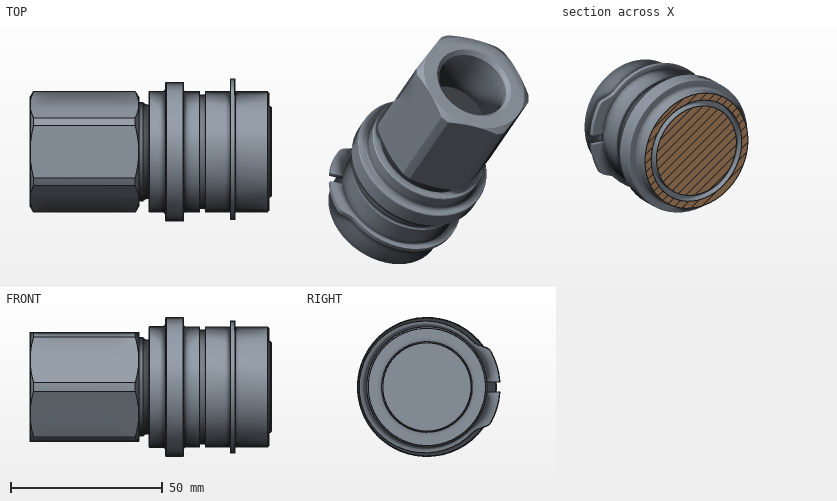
import cadquery as cq
import math

hex_across_flats = 36.0
hex_corner_radius = 20.0
hex_length = 36.0
hex_face_radius = 17.95
hex_chamfer_angle = 30.0

bore_radius = 11.95
bore_depth = 20.0
bore_chamfer = 1.3

neck_radius = 16.3
neck_root_radius = 15.55
neck_shoulder_x = 37.35
neck_root_x = 38.6

sleeve_radius = 20.0
sleeve_start_x = 39.35
sleeve_end_x = 79.0
sleeve_front_chamfer = 0.25
sleeve_end_chamfer = 0.5
rear_radius = 19.9
flange_radius = 23.0
flange_start_x = 44.9
flange_end_x = 50.85
flange_edge_chamfer = 0.2
flange_front_fillet = 1.0
flange_rear_fillet = 0.45
groove_radius = 18.8
groove_start_x = 56.0
groove_end_x = 58.0
groove_floor_fillet = 0.2

clearance_radius = 17.4
clearance_depth = 3.0

stub_radius = 15.0
stub_chamfer = 0.4
total_length = 79.9

ring_start_x = 66.3
ring_thickness = 1.5
ring_groove_radius = groove_radius
ring_groove_width = 1.75
ring_outer_radius = 21.8
ring_offset_y = -0.6
ear_tip_y = 24.17
ring_gap = 3.2
ear_radius = math.hypot(ear_tip_y, ring_gap / 2)
ear_corner_y = 20.65
ear_flank_angle = 18.5
ear_root_y = 15.0
ear_corner_fillet = 3.4
ear_root_fillet = 6.3


def hex_grip():
    """Hexagon with its corners rounded by a cylinder and both ends chamfered by cones."""
    hexagon = (
        cq.Workplane("YZ")
        .polygon(6, hex_across_flats / math.cos(math.pi / 6))
        .extrude(hex_length)
    )
    chamfer_length = (hex_corner_radius - hex_face_radius) * math.tan(math.radians(hex_chamfer_angle))
    envelope = (
        cq.Workplane("XY")
        .moveTo(0, 0)
        .lineTo(0, hex_face_radius)
        .lineTo(chamfer_length, hex_corner_radius)
        .lineTo(hex_length - chamfer_length, hex_corner_radius)
        .lineTo(hex_length, hex_face_radius)
        .lineTo(hex_length, 0)
        .close()
        .revolve(360, (0, 0, 0), (1, 0, 0))
    )
    return hexagon.intersect(envelope)


def turned_body():
    """Neck, flanged sleeve and end stub, revolved as one profile."""
    clearance_end_x = sleeve_start_x + clearance_depth
    ring_groove_end_x = ring_start_x + ring_groove_width
    return (
        cq.Workplane("XY")
        .moveTo(hex_length, 0)
        .lineTo(hex_length, neck_radius)
        .lineTo(neck_shoulder_x, neck_radius)
        .threePointArc(neck_runout_middle(), (neck_root_x, neck_root_radius))
        .lineTo(clearance_end_x, neck_root_radius)
        .lineTo(clearance_end_x, clearance_radius)
        .lineTo(sleeve_start_x, clearance_radius)
        .lineTo(sleeve_start_x, sleeve_radius - sleeve_front_chamfer)
        .lineTo(sleeve_start_x + sleeve_front_chamfer, sleeve_radius)
        .lineTo(flange_start_x - flange_front_fillet, sleeve_radius)
        .tangentArcPoint((flange_front_fillet, flange_front_fillet))
        .lineTo(flange_start_x, flange_radius - flange_edge_chamfer)
        .lineTo(flange_start_x + flange_edge_chamfer, flange_radius)
        .lineTo(flange_end_x - flange_edge_chamfer, flange_radius)
        .lineTo(flange_end_x, flange_radius - flange_edge_chamfer)
        .lineTo(flange_end_x, rear_radius + flange_rear_fillet)
        .tangentArcPoint((flange_rear_fillet, -flange_rear_fillet))
        .lineTo(groove_start_x, rear_radius)
        .lineTo(groove_start_x, groove_radius + groove_floor_fillet)
        .tangentArcPoint((groove_floor_fillet, -groove_floor_fillet))
        .lineTo(groove_end_x - groove_floor_fillet, groove_radius)
        .tangentArcPoint((groove_floor_fillet, groove_floor_fillet))
        .lineTo(groove_end_x, rear_radius)
        .lineTo(ring_start_x, rear_radius)
        .lineTo(ring_start_x, ring_groove_radius)
        .lineTo(ring_groove_end_x, ring_groove_radius)
        .lineTo(ring_groove_end_x, rear_radius)
        .lineTo(sleeve_end_x - sleeve_end_chamfer, rear_radius)
        .lineTo(sleeve_end_x, rear_radius - sleeve_end_chamfer)
        .lineTo(sleeve_end_x, stub_radius)
        .lineTo(total_length - stub_chamfer, stub_radius)
        .lineTo(total_length, stub_radius - stub_chamfer)
        .lineTo(total_length, 0)
        .close()
        .revolve(360, (0, 0, 0), (1, 0, 0))
    )


def neck_runout_middle():
    """Middle point of the concave arc that runs out tangent to the neck root."""
    run = neck_root_x - neck_shoulder_x
    drop = neck_radius - neck_root_radius
    arc_radius = (run ** 2 + drop ** 2) / (2 * drop)
    half_angle = math.asin(run / arc_radius) / 2
    x = neck_root_x - arc_radius * math.sin(half_angle)
    radius = neck_root_radius + arc_radius * (1 - math.cos(half_angle))
    return (x, radius)


def bore():
    """Blind bore with a 45 degree countersink at the open face."""
    return (
        cq.Workplane("XY")
        .moveTo(0, 0)
        .lineTo(0, bore_radius + bore_chamfer)
        .lineTo(bore_chamfer, bore_radius)
        .lineTo(bore_depth, bore_radius)
        .lineTo(bore_depth, 0)
        .close()
        .revolve(360, (0, 0, 0), (1, 0, 0))
    )


def retaining_ring():
    """Eccentric ring seated in the sleeve's rear groove, with filleted ears on both sides of its gap."""
    plane = cq.Workplane("YZ", origin=(ring_start_x, 0, 0))
    flank_middle_y = (ear_corner_y + ear_root_y) / 2
    corner_z = math.sqrt(ear_radius ** 2 - ear_corner_y ** 2)
    root_z = corner_z + (ear_corner_y - ear_root_y) * math.tan(math.radians(ear_flank_angle))
    disc = plane.center(ring_offset_y, 0).circle(ring_outer_radius).extrude(ring_thickness)
    ears = (
        plane.moveTo(0, 0)
        .lineTo(ear_root_y, -root_z)
        .lineTo(ear_corner_y, -corner_z)
        .threePointArc((ear_radius, 0), (ear_corner_y, corner_z))
        .lineTo(ear_root_y, root_z)
        .close()
        .extrude(ring_thickness)
    )
    outline = disc.union(ears)
    beyond_corner = cq.selectors.BoxSelector(
        (ring_start_x, flank_middle_y, -ear_radius),
        (ring_start_x + ring_thickness, ear_radius, ear_radius),
    )
    at_root = cq.selectors.BoxSelector(
        (ring_start_x, ear_root_y, -ear_radius),
        (ring_start_x + ring_thickness, flank_middle_y, ear_radius),
    )
    outline = outline.edges("|X").edges(beyond_corner).fillet(ear_corner_fillet)
    outline = outline.edges("|X").edges(at_root).fillet(ear_root_fillet)
    groove_floor = plane.circle(ring_groove_radius).extrude(ring_thickness)
    gap = plane.center(ear_radius / 2, 0).rect(ear_radius, ring_gap).extrude(ring_thickness)
    return outline.cut(groove_floor).cut(gap)


coupling = hex_grip().union(turned_body()).cut(bore())
ring = retaining_ring()

result = cq.Compound.makeCompound([coupling.val(), ring.val()])